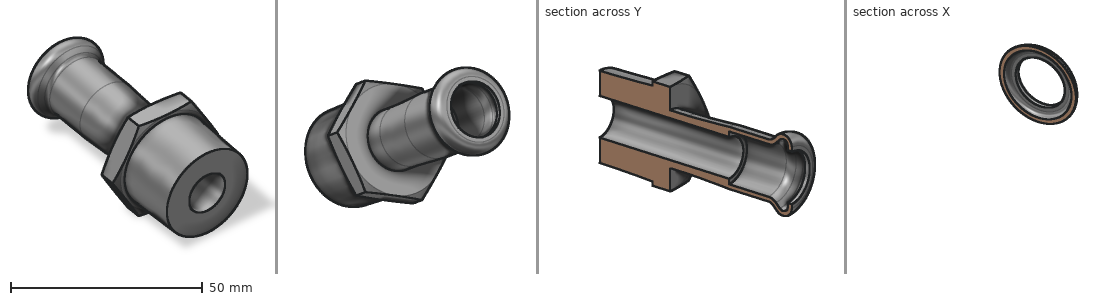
import cadquery as cq
import math

total_length = 64.0
taper_start = 20.85
taper_end = 34.4
hex_start = 40.5
hex_end = 46.45

socket_radius = 18.0 / 2
socket_bore_radius = 15.0 / 2
wall = socket_radius - socket_bore_radius
bead_radius = 5.95 / 2
bead_ring_radius = 8.8
neck_fillet = 2.0
neck_angle = math.radians(45)

neck_radius = 16.8 / 2
bore_radius = 11.85 / 2
hex_across_flats = 30.0
hex_chamfer_angle = math.radians(15)
male_root_radius = 13.8
male_taper = 1 / 16
male_length = total_length - hex_end
male_end_radius = male_root_radius - male_taper * male_length / 2

fillet_center_radius = socket_radius + neck_fillet
flank_gap = bead_radius + neck_fillet
radial_offset = fillet_center_radius - bead_ring_radius
fillet_center_x = bead_radius + (
    flank_gap - radial_offset * math.cos(neck_angle)
) / math.sin(neck_angle)


def on_circle(center_x, center_radius, radius, angle):
    """Profile point at an angle measured from the outward radial direction toward +X."""
    return (
        center_x + radius * math.sin(angle),
        center_radius + radius * math.cos(angle),
    )


def on_bead(radius, angle):
    return on_circle(bead_radius, bead_ring_radius, radius, angle)


def on_fillet(radius, angle):
    return on_circle(fillet_center_x, fillet_center_radius, radius, math.pi + angle)


def revolve_about_axis(profile):
    return profile.close().revolve(360, (0, 0, 0), (1, 0, 0))


def make_tube():
    """Beaded socket, tapered spigot and male end, with their stepped bore."""
    inner_bead = bead_radius - wall
    inner_fillet = neck_fillet + wall
    bead_start = -math.pi / 2
    bead_middle = (bead_start + neck_angle) / 2
    profile = (
        cq.Workplane("XY")
        .moveTo(0, socket_bore_radius)
        .lineTo(0, bead_ring_radius)
        .threePointArc(on_bead(bead_radius, bead_middle), on_bead(bead_radius, neck_angle))
        .lineTo(*on_fillet(neck_fillet, neck_angle))
        .threePointArc(on_fillet(neck_fillet, neck_angle / 2), on_fillet(neck_fillet, 0))
        .lineTo(taper_start, socket_radius)
        .lineTo(taper_end, neck_radius)
        .lineTo(hex_end, neck_radius)
        .lineTo(hex_end, male_root_radius)
        .lineTo(total_length, male_end_radius)
        .lineTo(total_length, bore_radius)
        .lineTo(taper_start, bore_radius)
        .lineTo(taper_start, socket_bore_radius)
        .lineTo(*on_fillet(inner_fillet, 0))
        .threePointArc(on_fillet(inner_fillet, neck_angle / 2), on_fillet(inner_fillet, neck_angle))
        .lineTo(*on_bead(inner_bead, neck_angle))
        .threePointArc(on_bead(inner_bead, bead_middle), on_bead(inner_bead, bead_start))
        .lineTo(wall, socket_bore_radius)
    )
    return revolve_about_axis(profile)


def make_hexagon():
    """Hexagon with flats facing +/-Z and its corners chamfered at both ends."""
    corner_radius = hex_across_flats / 2 / math.cos(math.pi / 6)
    flat_radius = hex_across_flats / 2
    chamfer_length = (corner_radius - flat_radius) * math.tan(hex_chamfer_angle)
    prism = (
        cq.Workplane("YZ", origin=(hex_start, 0, 0))
        .polygon(6, 2 * corner_radius)
        .extrude(hex_end - hex_start)
    )
    chamfered_disc = revolve_about_axis(
        cq.Workplane("XY")
        .moveTo(hex_start, 0)
        .lineTo(hex_start, flat_radius)
        .lineTo(hex_start + chamfer_length, corner_radius)
        .lineTo(hex_end - chamfer_length, corner_radius)
        .lineTo(hex_end, flat_radius)
        .lineTo(hex_end, 0)
    )
    bore = (
        cq.Workplane("YZ", origin=(hex_start, 0, 0))
        .circle(bore_radius)
        .extrude(hex_end - hex_start)
    )
    return prism.intersect(chamfered_disc).cut(bore)


result = make_tube().union(make_hexagon())